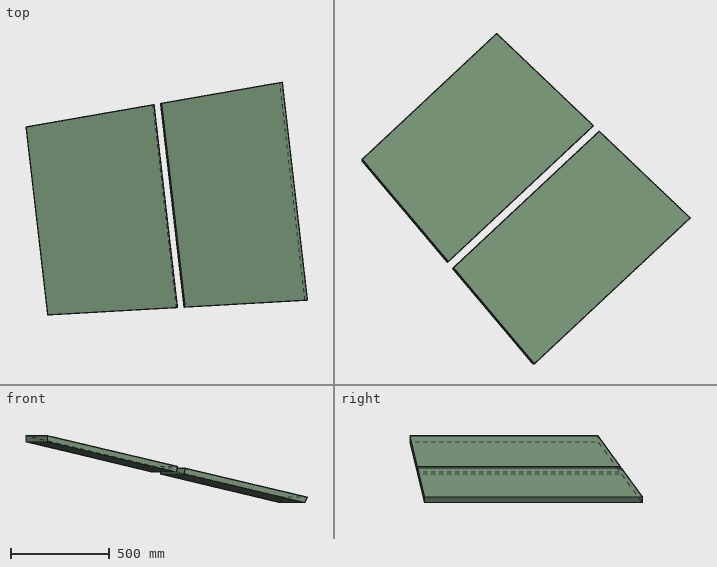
import cadquery as cq
import math


slope_angle = 13.309
yaw_angle = 6.58
thickness = 30.0
slope_length = 1350.0
upper_edge_length = 956.6
lower_edge_length = 1109.0
upper_panel_length = 675.0
panel_gap = 40.0

bevel_inset = thickness * math.tan(math.radians(slope_angle))
lower_panel_start = upper_panel_length + panel_gap


def trapezoid_slab():
    """The full trapezoid, one panel thick, hanging below its upper face."""
    half_upper = upper_edge_length / 2
    half_lower = lower_edge_length / 2
    corners = [
        (0, -half_upper),
        (slope_length, -half_lower),
        (slope_length, half_lower),
        (0, half_upper),
    ]
    return cq.Workplane("XY").polyline(corners).close().extrude(-thickness)


def panel(start, end, start_inset, end_inset):
    """The slab between two level edges, each inset by its bevel on the underside."""
    profile = [
        (start, 0),
        (end, 0),
        (end - end_inset, -thickness),
        (start + start_inset, -thickness),
    ]
    strip = (
        cq.Workplane("XZ")
        .polyline(profile)
        .close()
        .extrude(lower_edge_length / 2, both=True)
    )
    return trapezoid_slab().intersect(strip)


def place_on_slope(body):
    """Tilt a body down the slope, then turn it about the vertical."""
    tilted = body.rotate((0, 0, 0), (0, 1, 0), slope_angle)
    return tilted.rotate((0, 0, 0), (0, 0, 1), yaw_angle)


upper_panel = place_on_slope(panel(0, upper_panel_length, bevel_inset, 0))
lower_panel = place_on_slope(panel(lower_panel_start, slope_length, 0, bevel_inset))

result = cq.Compound.makeCompound([upper_panel.val(), lower_panel.val()])